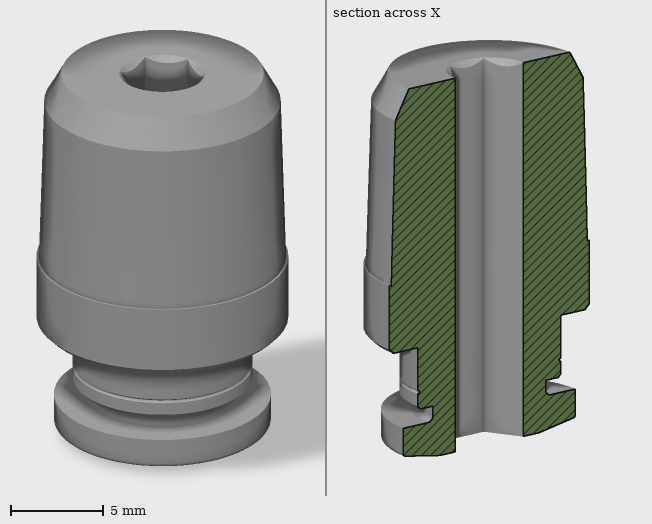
import cadquery as cq
import math

TOTAL_HEIGHT = 21.3
HEAD_TOP = 2.05
COLLAR_BOTTOM = 2.9
GROOVE_BOTTOM = 3.8
GROOVE_WIDTH = 0.21
BAND_BOTTOM = 6.41
BAND_TOP = 10.33
TAPER_TOP = 19.65

HEAD_DIAMETER = 11.8
HEAD_FLAT_DIAMETER = 6.82
NECK_DIAMETER = 7.75
COLLAR_DIAMETER = 9.8
BAND_DIAMETER = 13.7
TAPER_BOTTOM_DIAMETER = 13.45
TAPER_TOP_DIAMETER = 12.87
TOP_FACE_DIAMETER = 11.01

HEAD_CONE_HEIGHT = 0.43
HEAD_ROUND = 0.21
NECK_FILLET = 0.32
COLLAR_CHAMFER = 0.2
GROOVE_DEPTH = 0.13
BAND_CHAMFER = 0.3

SOCKET_ACROSS_FLATS = 4.0
COUNTERSINK_DIAMETER = 4.69
COUNTERSINK_ANGLE = 90.0


def cylinder(diameter, bottom, top):
    return cq.Workplane("XY", origin=(0, 0, bottom)).circle(diameter / 2).extrude(top - bottom)


def cone(bottom_diameter, top_diameter, bottom, top):
    return cq.Workplane(
        cq.Solid.makeCone(bottom_diameter / 2, top_diameter / 2, top - bottom, pnt=cq.Vector(0, 0, bottom))
    )


def make_head():
    """Disc with a shallow conical underside and a rounded lower rim."""
    head = cone(HEAD_FLAT_DIAMETER, HEAD_DIAMETER, 0, HEAD_CONE_HEIGHT)
    head = head.union(cylinder(HEAD_DIAMETER, HEAD_CONE_HEIGHT, HEAD_TOP))
    rim = cq.selectors.NearestToPointSelector((0, 0, HEAD_CONE_HEIGHT))
    return head.edges("%CIRCLE").edges(rim).fillet(HEAD_ROUND)


def make_neck():
    """Narrow neck, flaring into the head through a concave fillet."""
    radius = NECK_DIAMETER / 2
    diagonal = NECK_FILLET * (1 - math.sqrt(0.5))
    return (
        cq.Workplane("XZ")
        .moveTo(0, HEAD_TOP)
        .lineTo(radius + NECK_FILLET, HEAD_TOP)
        .threePointArc((radius + diagonal, HEAD_TOP + diagonal), (radius, HEAD_TOP + NECK_FILLET))
        .lineTo(radius, COLLAR_BOTTOM)
        .lineTo(0, COLLAR_BOTTOM)
        .close()
        .revolve(360, (0, 0), (0, 1))
    )


def make_collar():
    """Chamfered collar with a narrow V-shaped ring groove."""
    collar = cylinder(COLLAR_DIAMETER, COLLAR_BOTTOM, BAND_BOTTOM).faces("<Z").chamfer(COLLAR_CHAMFER)
    radius = COLLAR_DIAMETER / 2
    groove = (
        cq.Workplane("XZ")
        .moveTo(radius, GROOVE_BOTTOM)
        .lineTo(radius - GROOVE_DEPTH, GROOVE_BOTTOM + GROOVE_WIDTH / 2)
        .lineTo(radius, GROOVE_BOTTOM + GROOVE_WIDTH)
        .close()
        .revolve(360, (0, 0), (0, 1))
    )
    return collar.cut(groove)


def make_sleeve():
    """Straight band, slight taper and bevelled top end."""
    band = cylinder(BAND_DIAMETER, BAND_BOTTOM, BAND_TOP).faces("<Z").chamfer(BAND_CHAMFER)
    taper = cone(TAPER_BOTTOM_DIAMETER, TAPER_TOP_DIAMETER, BAND_TOP, TAPER_TOP)
    bevel = cone(TAPER_TOP_DIAMETER, TOP_FACE_DIAMETER, TAPER_TOP, TOTAL_HEIGHT)
    return band.union(taper).union(bevel)


def make_socket():
    """Hexagonal hole, corners along Y, with a conical lead-in at the top."""
    across_corners = SOCKET_ACROSS_FLATS / math.cos(math.pi / 6)
    hexagon = (
        cq.Workplane("XY")
        .transformed(rotate=(0, 0, 90))
        .polygon(6, across_corners)
        .extrude(TOTAL_HEIGHT)
    )
    depth = COUNTERSINK_DIAMETER / 2 / math.tan(math.radians(COUNTERSINK_ANGLE / 2))
    countersink = cone(0, COUNTERSINK_DIAMETER, TOTAL_HEIGHT - depth, TOTAL_HEIGHT)
    return hexagon.union(countersink)


body = make_head().union(make_neck()).union(make_collar()).union(make_sleeve())
result = body.cut(make_socket())